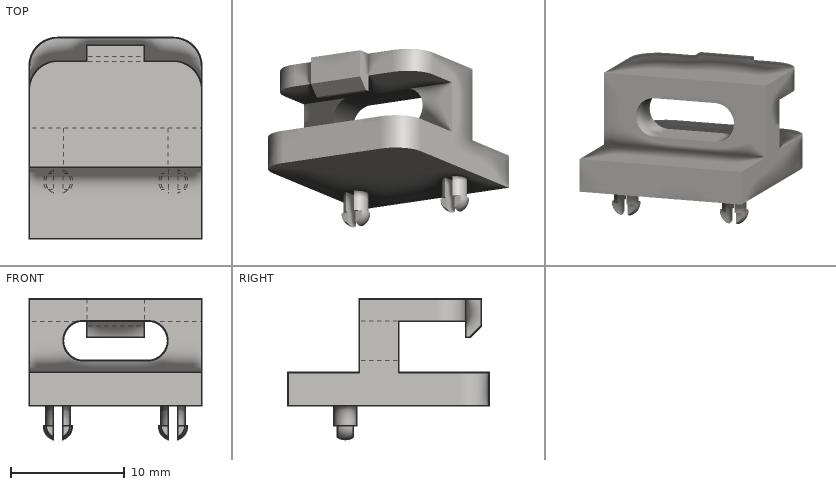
import cadquery as cq
import math

width = 15.24
base_length = 17.78
base_thickness = 2.95
corner_radius = 2.54

wall_front = 6.3
wall_thickness = 3.5
wall_height = 4.5

upper_back = 15.7
upper_thickness = 2.0

slot_length = 9.2
slot_height = 3.5
slot_raise = 0.05

hook_width = 5.08
hook_depth = 1.4
hook_height = 3.4
hook_tip = 0.4
hook_chamfer = hook_depth - hook_tip

pin_spacing = 10.16
pin_y = 5.08
stem_radius = 1.1
head_radius = 1.27
head_width = 1.4
pin_gap = 0.8
overall_height = 12.43

wall_top = base_thickness + wall_height
top_z = wall_top + upper_thickness
head_height = math.sqrt(head_radius**2 - (pin_gap / 2) ** 2)
stem_length = overall_height - top_z - head_height


def plate(front, back, bottom, thickness):
    """Full-width plate with its two back corners rounded."""
    return (
        cq.Workplane("XY", origin=(0, front, bottom))
        .box(width, back - front, thickness, centered=(True, False, False))
        .edges("|Z and >Y")
        .fillet(corner_radius)
    )


def wall():
    return cq.Workplane("XY", origin=(0, wall_front, base_thickness)).box(
        width, wall_thickness, wall_height, centered=(True, False, False)
    )


def wall_slot():
    """Cutter for the rounded slot, as deep as the wall."""
    slot_z = wall_top + slot_raise - slot_height / 2
    return (
        cq.Workplane("XZ", origin=(0, wall_front, slot_z))
        .slot2D(slot_length, slot_height)
        .extrude(-wall_thickness)
    )


def hook():
    """Downward latch with a lead-in chamfer on its back face."""
    hook_back = upper_back + hook_depth
    hook_bottom = top_z - hook_height
    return (
        cq.Workplane("YZ")
        .moveTo(upper_back, top_z)
        .lineTo(hook_back, top_z)
        .lineTo(hook_back, hook_bottom + hook_chamfer)
        .lineTo(upper_back + hook_tip, hook_bottom)
        .lineTo(upper_back, hook_bottom)
        .close()
        .extrude(hook_width / 2, both=True)
    )


def snap_pin(x):
    """Round stem with a half-ball head flattened front and back, split by a gap."""
    stem = cq.Workplane("XY").circle(stem_radius).extrude(-stem_length)
    lower_block = cq.Workplane("XY").box(
        2 * head_radius, head_width, head_radius, centered=(True, True, False)
    )
    head = (
        cq.Workplane("XY")
        .sphere(head_radius)
        .intersect(lower_block.translate((0, 0, -head_radius)))
        .translate((0, 0, -stem_length))
    )
    pin_length = stem_length + head_radius
    gap = cq.Workplane("XY").rect(pin_gap, 2 * head_radius).extrude(-pin_length)
    return stem.union(head).cut(gap).translate((x, pin_y, 0))


result = plate(0, base_length, 0, base_thickness)
result = result.union(wall())
result = result.union(plate(wall_front, upper_back, wall_top, upper_thickness))
result = result.cut(wall_slot())
result = result.union(hook())
for side in (-1, 1):
    result = result.union(snap_pin(side * pin_spacing / 2))